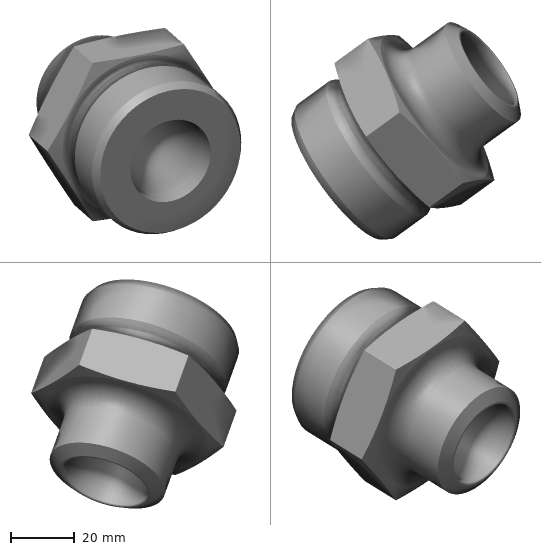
import cadquery as cq
import math

length = 60.0
neck_end = 16.0
hex_start = 21.95
hex_end = 38.05
thread_start = 44.7

bore_radius = 28.0 / 2
bore_chamfer = 0.25
weld_face_radius = 29.8 / 2
neck_radius = 38.0 / 2
groove_radius = 48.9 / 2
thread_radius = 52.0 / 2

hex_across_flats = 55.0
hex_turned_radius = 63.4 / 2
hex_chamfer_radius = 53.9 / 2
hex_chamfer_angle = math.radians(15)

weld_bevel_angle = math.radians(60)
thread_bevel_angle = math.radians(30)
groove_fillet = 1.0
neck_fillet = hex_start - neck_end


def make_hexagon():
    """Hexagonal collar with its corners along Y, trimmed to a cylinder and coned on both ends."""
    prism = (
        cq.Workplane("YZ", origin=(hex_start, 0, 0))
        .polygon(6, hex_across_flats / math.cos(math.radians(30)))
        .extrude(hex_end - hex_start)
    )
    chamfer_depth = (hex_turned_radius - hex_chamfer_radius) * math.tan(hex_chamfer_angle)
    envelope = (
        cq.Workplane("XY")
        .moveTo(hex_start, 0)
        .lineTo(hex_start, hex_chamfer_radius)
        .lineTo(hex_start + chamfer_depth, hex_turned_radius)
        .lineTo(hex_end - chamfer_depth, hex_turned_radius)
        .lineTo(hex_end, hex_chamfer_radius)
        .lineTo(hex_end, 0)
        .close()
        .revolve(360, (0, 0, 0), (1, 0, 0))
    )
    return prism.intersect(envelope)


def make_turned_body():
    """Weld neck, blend into the hexagon, relief groove and thread cylinder."""
    weld_bevel = (neck_radius - weld_face_radius) / math.tan(weld_bevel_angle)
    thread_bevel = (thread_radius - groove_radius) / math.tan(thread_bevel_angle)

    flank_arc_length = groove_fillet * math.sin(thread_bevel_angle)
    flank_arc_rise = groove_fillet * (1 - math.cos(thread_bevel_angle))
    flank_bottom_radius = groove_radius + flank_arc_rise
    flank_bottom = thread_start - (thread_radius - flank_bottom_radius) / math.tan(thread_bevel_angle)
    floor_end = flank_bottom - flank_arc_length

    return (
        cq.Workplane("XY")
        .lineTo(0, weld_face_radius)
        .lineTo(weld_bevel, neck_radius)
        .lineTo(neck_end, neck_radius)
        .radiusArc((hex_start, neck_radius + neck_fillet), -neck_fillet)
        .lineTo(hex_end, neck_radius + neck_fillet)
        .lineTo(hex_end, groove_radius + groove_fillet)
        .radiusArc((hex_end + groove_fillet, groove_radius), -groove_fillet)
        .lineTo(floor_end, groove_radius)
        .radiusArc((flank_bottom, flank_bottom_radius), -groove_fillet)
        .lineTo(thread_start, thread_radius)
        .lineTo(length - thread_bevel, thread_radius)
        .lineTo(length, groove_radius)
        .lineTo(length, 0)
        .close()
        .revolve(360, (0, 0, 0), (1, 0, 0))
    )


def make_bore():
    """Through bore with a small chamfer at the weld end."""
    hole = cq.Workplane("YZ").circle(bore_radius).extrude(length)
    mouth = cq.Solid.makeCone(
        bore_radius + bore_chamfer,
        bore_radius,
        bore_chamfer,
        cq.Vector(0, 0, 0),
        cq.Vector(1, 0, 0),
    )
    return hole.union(cq.Workplane(mouth))


result = make_turned_body().union(make_hexagon()).cut(make_bore())